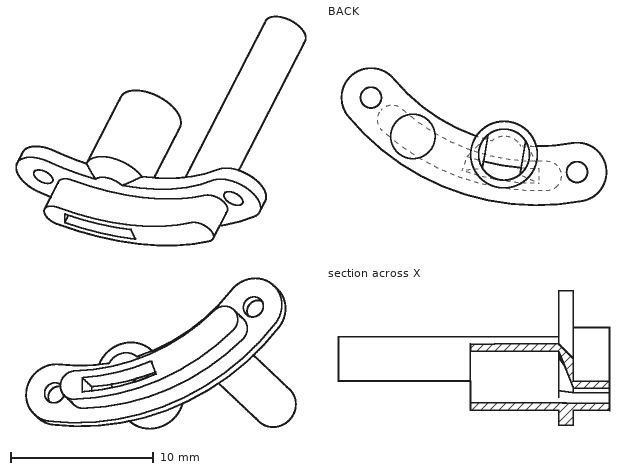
import cadquery as cq
import math

arc_radius = 15.13
lug_angles = (-10.7, 50.45)
rail_angles = (-2.5, 42.4)
slot_angles = (-0.4, 19.7)

plate_thickness = 1.03
plate_half_width = 2.08
lug_hole_radius = 0.72

rail_height = 2.55
rail_half_width = 1.03
slot_half_width = rail_half_width / 2

overall_length = 19.05
pin_angle = 35.2
pin_radius = 1.56
pin_end = overall_length - rail_height

tube_angle = sum(slot_angles) / 2
tube_offset = 13.83
tube_radius = 2.35
tube_bore_radius = 1.8
tube_length = 6.2
tube_end = plate_thickness + tube_length
flare_front_radius = tube_radius - plate_thickness
bore_entry_half_width = 1.33


def polar(radius, angle):
    """Point (x, z) at a distance and angle from the arc centre."""
    turn = math.radians(angle)
    return (radius * math.sin(turn), -radius * math.cos(turn))


def sketch_at(y):
    """Workplane parallel to XZ; its normal points towards -Y."""
    return cq.Workplane("XZ", origin=(0, y, 0))


def cylinder(centre, radius, y_start, y_end):
    """Solid cylinder along Y."""
    return sketch_at(y_start).center(*centre).circle(radius).extrude(y_start - y_end)


def cap_tip(angle, reach):
    """Point a distance along the tangent from the arc's point at this angle."""
    x, z = polar(arc_radius, angle)
    turn = math.radians(angle)
    return (x + reach * math.cos(turn), z + reach * math.sin(turn))


def curved_outline(half_width, angles, y, round_ends):
    """Closed band of constant width along the arc, with round or radial ends."""
    start, end = angles
    middle = (start + end) / 2
    inner = arc_radius - half_width
    outer = arc_radius + half_width
    outline = sketch_at(y).moveTo(*polar(inner, start))
    outline = outline.threePointArc(polar(inner, middle), polar(inner, end))
    if round_ends:
        outline = outline.threePointArc(cap_tip(end, half_width), polar(outer, end))
    else:
        outline = outline.lineTo(*polar(outer, end))
    outline = outline.threePointArc(polar(outer, middle), polar(outer, start))
    if round_ends:
        outline = outline.threePointArc(cap_tip(start, -half_width), polar(inner, start))
    return outline.close()


def flat_sided_bore(centre):
    """Bore circle trimmed by two flats facing the slot ends, at the back of the plate."""
    side = bore_entry_half_width
    flat = math.sqrt(tube_bore_radius ** 2 - side ** 2)
    turn = math.radians(tube_angle)
    entry_plane = cq.Plane(
        origin=(centre[0], plate_thickness, centre[1]),
        xDir=(math.cos(turn), 0, math.sin(turn)),
        normal=(0, -1, 0),
    )
    return (
        cq.Workplane(entry_plane)
        .moveTo(-side, flat)
        .threePointArc((0, tube_bore_radius), (side, flat))
        .lineTo(side, -flat)
        .threePointArc((0, -tube_bore_radius), (-side, -flat))
        .close()
    )


plate = curved_outline(plate_half_width, lug_angles, 0, True).extrude(-plate_thickness)
rail = curved_outline(rail_half_width, rail_angles, 0, True).extrude(rail_height)
pin = cylinder(polar(arc_radius, pin_angle), pin_radius, plate_thickness, pin_end)

tube_centre = polar(tube_offset, tube_angle)
tube = cylinder(tube_centre, tube_radius, plate_thickness, tube_end)
flare = (
    sketch_at(0)
    .center(*tube_centre)
    .circle(flare_front_radius)
    .workplane(offset=-plate_thickness)
    .circle(tube_radius)
    .loft()
)
body = plate.union(rail).union(pin).union(flare).union(tube)

for lug_angle in lug_angles:
    lug_centre = polar(arc_radius, lug_angle)
    body = body.cut(cylinder(lug_centre, lug_hole_radius, 0, plate_thickness))

slot = curved_outline(slot_half_width, slot_angles, 0, False).extrude(rail_height)
slot_exit = curved_outline(slot_half_width, slot_angles, 0, False).val()
bore_entry = flat_sided_bore(tube_centre).val()
blend = cq.Workplane(cq.Solid.makeLoft([slot_exit, bore_entry], True))
bore = cylinder(tube_centre, tube_bore_radius, plate_thickness, tube_end)

result = body.cut(slot).cut(blend).cut(bore)